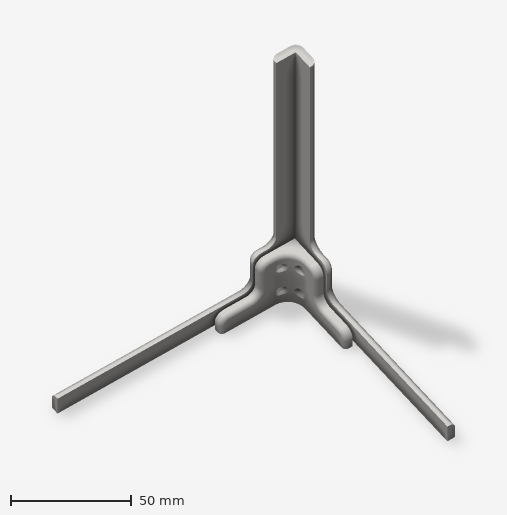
import cadquery as cq
import math


POST_HEIGHT = 148.5
ARM_REACH_X = 110.8
ARM_REACH_Y = 125.8
POST_WIDTH = 14.0
FRAME_THICKNESS = 4.0
FRAME_CORNER_RADIUS = 3.9
FRAME_RIM_RADIUS = 3.3

SHOULDER_REACH = 26.1
SHOULDER_HEIGHT = 30.0
ARM_HEIGHT = 9.7
STEP_RADIUS = 4.8

GAP = 1.8
BRACKET_START = FRAME_THICKNESS + GAP
BRACKET_THICKNESS = 4.2
BRACKET_INNER = BRACKET_START + BRACKET_THICKNESS
BRACKET_REACH = 46.6
BRACKET_CORNER_RADIUS = 8.9
BRACKET_RIM_RADIUS = 2.1

HOLE_OFFSET = 16.0
HOLE_HEIGHTS = (7.5, 22.5)
FRAME_HOLE_DIAMETER = 3.1
BRACKET_HOLE_DIAMETER = 4.0
HOLE_CHAMFER = 0.6


def to_y_arm(shape):
    """Reflect a shape on the X arm onto the Y arm, (x, y) becoming (-y, -x)."""
    return shape.mirror("YZ").rotate((0, 0, 0), (0, 0, 1), 90)


def hole_cutters(diameter):
    """Cylinders through both arms, at every screw position."""
    centers = [(HOLE_OFFSET, height) for height in HOLE_HEIGHTS]
    x_arm_holes = cq.Workplane("XZ").pushPoints(centers).circle(diameter / 2).extrude(SHOULDER_REACH)
    return x_arm_holes, to_y_arm(x_arm_holes)


def cut_holes(body, diameter):
    for cutter in hole_cutters(diameter):
        body = body.cut(cutter)
    return body


def round_rim(body, seed_points, radius):
    """Round the smooth chains of edges that contain the edges nearest the seed points."""
    for point in seed_points:
        body = body.edges(cq.NearestToPointSelector(point)).fillet(radius)
    return body


def rounded_plate(outline, bends, offset, thickness):
    """Upright plate along X, its outer face at y = -offset, with the given outline points rounded."""
    plate = cq.Workplane("XZ", origin=(0, -offset, 0)).polyline(outline).close().extrude(thickness)
    for x, z in bends:
        edge = cq.NearestToPointSelector((x, -offset - thickness / 2, z))
        plate = plate.edges("|Y").edges(edge).fillet(STEP_RADIUS)
    return plate


def frame_arm(reach):
    """X arm of the frame: post, shoulder and rail in one flat plate."""
    outline = [
        (0, 0),
        (reach, 0),
        (reach, ARM_HEIGHT),
        (SHOULDER_REACH, ARM_HEIGHT),
        (SHOULDER_REACH, SHOULDER_HEIGHT),
        (POST_WIDTH, SHOULDER_HEIGHT),
        (POST_WIDTH, POST_HEIGHT),
        (0, POST_HEIGHT),
    ]
    bends = [outline[3], outline[4], outline[5]]
    return rounded_plate(outline, bends, 0, FRAME_THICKNESS)


def bracket_arm():
    """X arm of the bracket: shoulder and short rail in one flat plate."""
    outline = [
        (BRACKET_START, 0),
        (BRACKET_REACH, 0),
        (BRACKET_REACH, ARM_HEIGHT),
        (SHOULDER_REACH, ARM_HEIGHT),
        (SHOULDER_REACH, SHOULDER_HEIGHT),
        (BRACKET_START, SHOULDER_HEIGHT),
    ]
    bends = [outline[2], outline[3], outline[4]]
    return rounded_plate(outline, bends, BRACKET_START, BRACKET_THICKNESS)


def make_frame():
    frame = frame_arm(ARM_REACH_X).union(to_y_arm(frame_arm(ARM_REACH_Y)))
    outer_corner = cq.NearestToPointSelector((0, 0, POST_HEIGHT / 2))
    frame = frame.edges("|Z").edges(outer_corner).fillet(FRAME_CORNER_RADIUS)
    rail_middle_x = (SHOULDER_REACH + STEP_RADIUS + ARM_REACH_X) / 2
    rail_middle_y = (SHOULDER_REACH + STEP_RADIUS + ARM_REACH_Y) / 2
    seeds = [(rail_middle_x, 0, ARM_HEIGHT), (0, -rail_middle_y, ARM_HEIGHT)]
    frame = round_rim(frame, seeds, FRAME_RIM_RADIUS)
    return cut_holes(frame, FRAME_HOLE_DIAMETER)


def chamfer_hole_mouths(bracket):
    """Break the edge of each hole where it opens into the curved inner corner."""
    corner_center = BRACKET_INNER + BRACKET_CORNER_RADIUS
    mouth_depth = corner_center - math.sqrt(BRACKET_CORNER_RADIUS**2 - (corner_center - HOLE_OFFSET) ** 2)
    for height in HOLE_HEIGHTS:
        for point in [(HOLE_OFFSET, -mouth_depth, height), (mouth_depth, -HOLE_OFFSET, height)]:
            bracket = bracket.edges(cq.NearestToPointSelector(point)).chamfer(HOLE_CHAMFER)
    return bracket


def make_bracket():
    arm = bracket_arm()
    bracket = arm.union(to_y_arm(arm))
    inner_corner = cq.NearestToPointSelector((BRACKET_INNER, -BRACKET_INNER, SHOULDER_HEIGHT / 2))
    bracket = bracket.edges("|Z").edges(inner_corner).fillet(BRACKET_CORNER_RADIUS)
    rail_middle = (SHOULDER_REACH + BRACKET_REACH) / 2
    bracket = round_rim(bracket, [(rail_middle, -BRACKET_INNER, ARM_HEIGHT)], BRACKET_RIM_RADIUS)
    bracket = cut_holes(bracket, BRACKET_HOLE_DIAMETER)
    return chamfer_hole_mouths(bracket)


frame = make_frame()
bracket = make_bracket()

result = cq.Compound.makeCompound([frame.val(), bracket.val()])